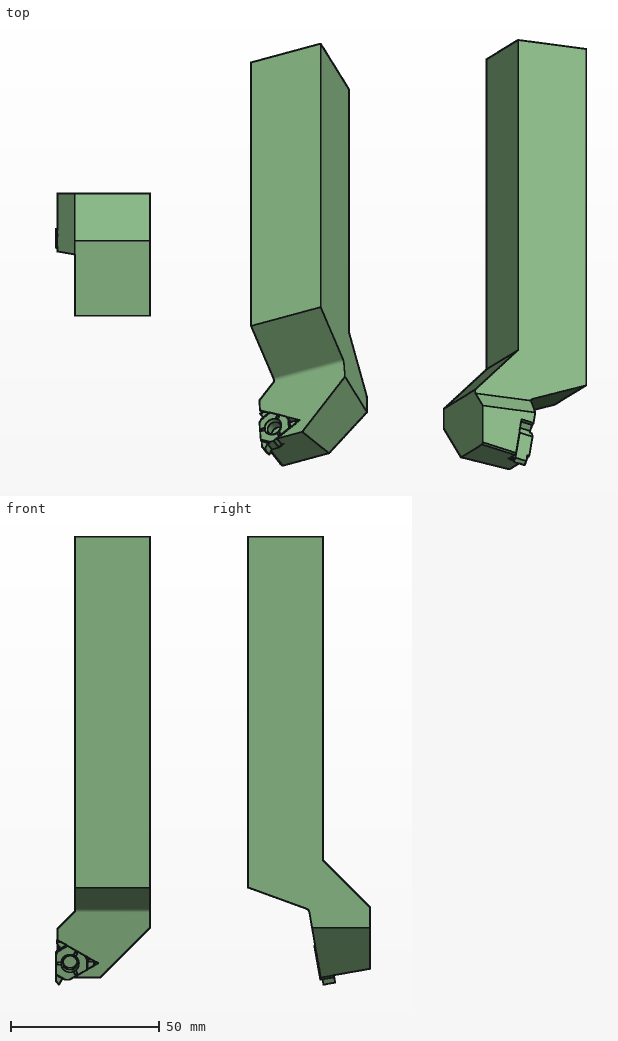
import cadquery as cq
import math

shank_side = 25.5
total_height = 151.4

lean = math.radians(10)
crank_offset = 15.9
back_crank_top = 42.1
front_ramp_top = 32.8
front_ramp_slope = math.radians(20)
ramp_end_y = 20.6
ramp_fillet = 1.5
head_bottom_z = 2.4
head_step_out = 5.9
lower_edge_chamfer = 0.6
side_chamfer_top = 24.8
diagonal_top = 19.2

insert_overhang = 6.4
insert_center_z = 7.3
inscribed_diameter = 9.5
insert_thickness = 4.8
insert_proud = 0.3
corner_step_distance = 5.6
corner_step_run = 0.3
corner_step_depth = 0.8
hole_radius = 2.4
countersink_radius = 3.0
countersink_depth = 1.2
groove_width = 0.9
groove_depth = 0.2
groove_end = 4.2
tooth_tip_x = -3.8
tooth_tip_z = 0.0
tooth_outer_y = -6.2
tooth_root_x = -2.7
notch_y = -5.6

inscribed_radius = inscribed_diameter / 2
corner_radius = inscribed_diameter
insert_center_x = inscribed_radius - insert_overhang
side_slope = math.tan(math.radians(30))
corner_angles = (0, 120, 240)
side_angles = (60, 180, 300)
head_back_y = shank_side + crank_offset


def front_face_y(z):
    """Y of the leaning front face at height z."""
    return ramp_end_y + (ramp_end_z - z) * math.tan(lean)


ramp_end_z = front_ramp_top - ramp_end_y * math.tan(front_ramp_slope)
head_bottom_y = front_face_y(head_bottom_z)
head_bottom_back_z = head_bottom_z + (head_back_y - head_bottom_y) * math.tan(lean)

face_plane = cq.Plane(
    origin=(insert_center_x, front_face_y(insert_center_z), insert_center_z),
    xDir=(1, 0, 0),
    normal=(0, -math.cos(lean), -math.sin(lean)),
)


def turn(point, degrees):
    """Turn a local point about the insert center."""
    angle = math.radians(degrees)
    x, y = point
    return (
        x * math.cos(angle) - y * math.sin(angle),
        x * math.sin(angle) + y * math.cos(angle),
    )


def make_pocket_cutter():
    """Wedge that opens to the left and downward around the insert."""
    reach = 3 * corner_radius
    half_width = reach * side_slope
    return (
        cq.Workplane(face_plane)
        .workplane(offset=insert_proud - insert_thickness)
        .polyline([
            (corner_radius, 0),
            (corner_radius - reach, half_width),
            (corner_radius - reach, -half_width),
        ])
        .close()
        .extrude(2 * insert_thickness)
    )


def make_holder():
    profile = (
        cq.Workplane("YZ")
        .workplane(offset=-head_step_out)
        .polyline([
            (0, total_height),
            (shank_side, total_height),
            (shank_side, back_crank_top),
            (head_back_y, back_crank_top - crank_offset),
            (head_back_y, head_bottom_back_z),
            (head_bottom_y, head_bottom_z),
            (ramp_end_y, ramp_end_z),
            (0, front_ramp_top),
        ])
        .close()
        .extrude(head_step_out + shank_side)
        .edges(cq.selectors.NearestToPointSelector((shank_side / 2, ramp_end_y, ramp_end_z)))
        .fillet(ramp_fillet)
    )
    outline = (
        cq.Workplane("XZ")
        .polyline([
            (0, total_height),
            (shank_side, total_height),
            (shank_side, diagonal_top),
            (shank_side - diagonal_top, 0),
            (-head_step_out, 0),
            (-head_step_out, side_chamfer_top - head_step_out),
            (0, side_chamfer_top),
        ])
        .close()
        .extrude(-head_back_y)
    )

    lower_left_edge = (
        -head_step_out,
        (head_back_y + head_bottom_y) / 2,
        (head_bottom_back_z + head_bottom_z) / 2,
    )
    blank = (
        profile.intersect(outline)
        .edges(cq.selectors.NearestToPointSelector(lower_left_edge))
        .chamfer(lower_edge_chamfer)
    )
    return blank.cut(make_pocket_cutter())


def make_insert():
    tip_face_level = insert_proud - corner_step_depth
    tooth_tip_y = (tooth_tip_z - insert_center_z + tip_face_level * math.sin(lean)) / math.cos(lean)

    notch_end_x = corner_radius + notch_y / side_slope
    corner = [
        (-inscribed_radius, tooth_outer_y),
        (tooth_tip_x, tooth_tip_y),
        (tooth_root_x, notch_y),
        (notch_end_x, notch_y),
    ]
    points = [turn(point, degrees) for degrees in corner_angles for point in corner]
    top_plane = cq.Workplane(face_plane).workplane(offset=insert_proud)
    body = top_plane.polyline(points).close().extrude(-insert_thickness)

    for degrees in corner_angles:
        step = (
            top_plane.transformed(rotate=(0, 0, degrees))
            .transformed(rotate=(90, 0, 0), offset=(0, corner_radius, 0))
            .polyline([
                (corner_step_distance, 0),
                (corner_step_distance + corner_step_run, -corner_step_depth),
                (corner_radius, -corner_step_depth),
                (corner_radius, 0),
            ])
            .close()
            .extrude(2 * corner_radius)
        )
        body = body.cut(step)

    for degrees in side_angles:
        groove = (
            top_plane.center(*turn((groove_end / 2, 0), degrees))
            .transformed(rotate=(0, 0, degrees))
            .rect(groove_end, groove_width)
            .extrude(-groove_depth)
        )
        body = body.cut(groove)

    hole = top_plane.circle(hole_radius).extrude(-insert_thickness)
    countersink = (
        top_plane.circle(countersink_radius)
        .workplane(offset=-countersink_depth)
        .circle(hole_radius)
        .loft()
    )
    return body.cut(hole).cut(countersink)


holder = make_holder()
insert = make_insert()

result = cq.Compound.makeCompound([holder.val(), insert.val()])